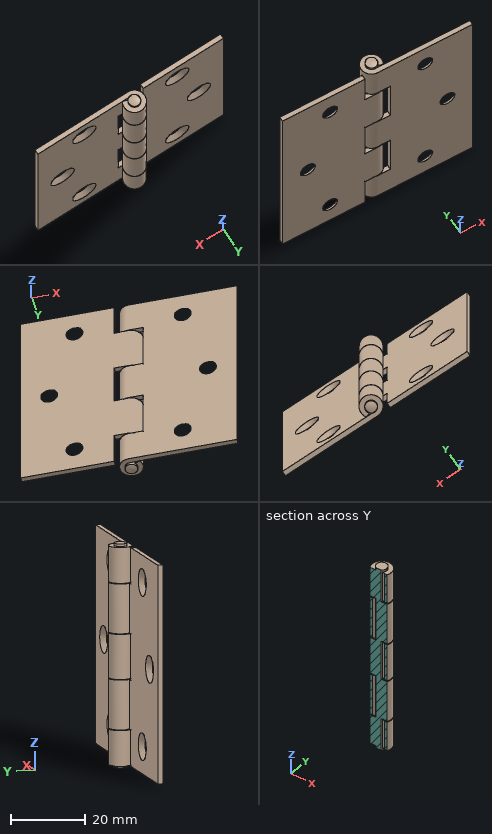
import cadquery as cq
import math

pin_length = 62
leaf_size = 60.0
barrel_diameter = 6.5
pin_diameter = 3.5
pin_dome_rise = 0.3
slot_clearance = 0.75
knuckle_gap = 0.2
middle_joint_z = 6.25
outer_joint_z = 20.1
hole_diameter = 4.5
countersink_diameter = 7.5
inner_hole_x = 15.0
outer_hole_x = 22.0
corner_hole_z = 22.5
curl_tip_angle = math.radians(-45)
curl_tip_overlap = 0.05

barrel_radius = barrel_diameter / 2
pin_radius = pin_diameter / 2
leaf_thickness = barrel_radius - pin_radius
leaf_half = leaf_size / 2
slot_edge_x = barrel_radius + slot_clearance
curl_tip_x = math.sqrt(barrel_radius**2 - pin_radius**2) - curl_tip_overlap


def extrude_between(profile, bottom, top):
    """Extrude an XY profile from the bottom height to the top height."""
    return profile.extrude(top - bottom).translate((0, 0, bottom))


def make_knuckle(bottom, top):
    """Rolled barrel with the strip that ties it to the leaf on the +X side."""
    barrel = extrude_between(cq.Workplane("XY").circle(barrel_radius), bottom, top)
    strip_profile = (
        cq.Workplane("XY")
        .moveTo(0, -barrel_radius)
        .lineTo(slot_edge_x, -barrel_radius)
        .lineTo(slot_edge_x, -pin_radius)
        .lineTo(0, -pin_radius)
        .close()
    )
    bore = extrude_between(cq.Workplane("XY").circle(pin_radius), bottom, top)
    wedge_profile = (
        cq.Workplane("XY")
        .moveTo(0, -pin_radius)
        .lineTo(curl_tip_x, -pin_radius)
        .lineTo(pin_radius * math.cos(curl_tip_angle), pin_radius * math.sin(curl_tip_angle))
        .close()
    )
    strip = extrude_between(strip_profile, bottom, top)
    wedge = extrude_between(wedge_profile, bottom, top)
    return barrel.union(strip).cut(bore).cut(wedge)


def make_leaf(knuckle_spans):
    """Leaf on the +X side with its countersunk screw holes and one knuckle for each height span."""
    leaf = cq.Workplane("XY").box(
        leaf_half - slot_edge_x, leaf_thickness, leaf_size, centered=(False, False, True)
    ).translate((slot_edge_x, -barrel_radius, 0))
    hole_points = [
        (inner_hole_x, corner_hole_z),
        (outer_hole_x, 0),
        (inner_hole_x, -corner_hole_z),
    ]
    for x, z in hole_points:
        hole = cq.Solid.makeCone(
            hole_diameter / 2,
            countersink_diameter / 2,
            leaf_thickness,
            cq.Vector(x, -barrel_radius, z),
            cq.Vector(0, 1, 0),
        )
        leaf = leaf.cut(cq.Workplane(hole))
    for bottom, top in knuckle_spans:
        leaf = leaf.union(make_knuckle(bottom, top))
    return leaf


def make_pin():
    """Pin with a shallow domed cap at each end."""
    half_length = pin_length / 2
    rim_z = half_length - pin_dome_rise
    dome_radius = (pin_radius**2 + pin_dome_rise**2) / (2 * pin_dome_rise)
    dome_mid_x = pin_radius / 2
    dome_mid_z = half_length - dome_radius + math.sqrt(dome_radius**2 - dome_mid_x**2)
    return (
        cq.Workplane("XZ")
        .moveTo(0, -half_length)
        .threePointArc((dome_mid_x, -dome_mid_z), (pin_radius, -rim_z))
        .lineTo(pin_radius, rim_z)
        .threePointArc((dome_mid_x, dome_mid_z), (0, half_length))
        .close()
        .revolve(360, (0, 0), (0, 1))
    )


half_gap = knuckle_gap / 2
right_spans = [
    (-leaf_half, -outer_joint_z - half_gap),
    (-middle_joint_z + half_gap, middle_joint_z - half_gap),
    (outer_joint_z + half_gap, leaf_half),
]
left_spans = [
    (-outer_joint_z + half_gap, -middle_joint_z - half_gap),
    (middle_joint_z + half_gap, outer_joint_z - half_gap),
]

right_leaf = make_leaf(right_spans)
left_leaf = make_leaf(left_spans).mirror("YZ")
result = right_leaf.union(left_leaf).union(make_pin())